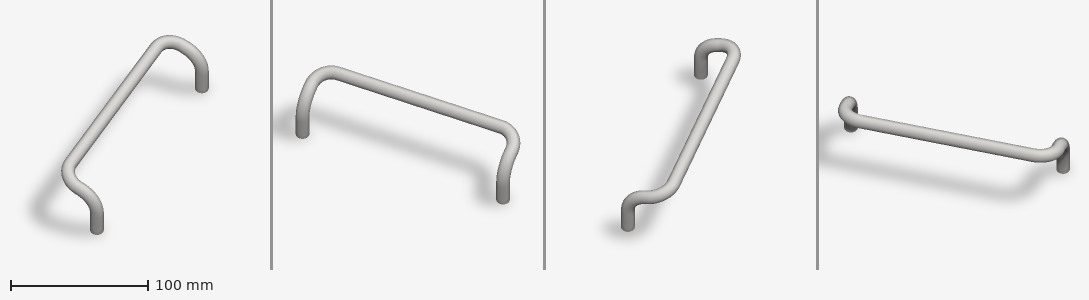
import cadquery as cq
import math

overall_length = 170.0
overall_width = 40.0
overall_height = 47.0
rod_diameter = 10.0
leg_bend_radius = 18.7
grip_bend_radius = 15.0
tilt = math.radians(17.5)

rod_radius = rod_diameter / 2
leg_y = overall_length / 2 - rod_radius
grip_x = -(overall_width - rod_diameter)
grip_z = overall_height - rod_radius

arm_dx = -math.cos(tilt)
arm_dz = math.sin(tilt)
bend_end_x = -leg_bend_radius * (1 - math.sin(tilt))
arm_length = (bend_end_x - grip_x) / math.cos(tilt)
bend_end_z = grip_z - arm_length * math.sin(tilt)
leg_height = bend_end_z - leg_bend_radius * math.cos(tilt)


def arm_point(distance_to_grip, y):
    """Point in the tilted plane, measured back from the grip axis."""
    return (
        grip_x - distance_to_grip * arm_dx,
        y,
        grip_z - distance_to_grip * arm_dz,
    )


def leg_bend_middle(y):
    """Middle of the arc joining a leg to its arm."""
    half_turn = (math.pi / 2 - tilt) / 2
    return (
        -leg_bend_radius * (1 - math.cos(half_turn)),
        y,
        leg_height + leg_bend_radius * math.sin(half_turn),
    )


def grip_bend_middle(side):
    """Middle of the arc joining an arm to the grip."""
    inset = grip_bend_radius * (1 - math.sqrt(0.5))
    return arm_point(inset, side * (leg_y - inset))


def end_edges(side):
    """Centreline of one leg, its bend, arm and grip bend, from the foot up."""
    y = side * leg_y
    foot = cq.Vector(0, y, 0)
    leg_top = cq.Vector(0, y, leg_height)
    arm_start = cq.Vector(bend_end_x, y, bend_end_z)
    arm_end = cq.Vector(*arm_point(grip_bend_radius, y))
    grip_end = cq.Vector(*arm_point(0, side * (leg_y - grip_bend_radius)))
    edges = [
        cq.Edge.makeLine(foot, leg_top),
        cq.Edge.makeThreePointArc(leg_top, cq.Vector(*leg_bend_middle(y)), arm_start),
        cq.Edge.makeLine(arm_start, arm_end),
        cq.Edge.makeThreePointArc(arm_end, cq.Vector(*grip_bend_middle(side)), grip_end),
    ]
    return edges, grip_end


front_edges, front_grip_end = end_edges(-1)
back_edges, back_grip_end = end_edges(1)
grip_edge = cq.Edge.makeLine(front_grip_end, back_grip_end)
centreline = cq.Wire.assembleEdges(front_edges + [grip_edge] + back_edges[::-1])

result = cq.Workplane("XY").center(0, -leg_y).circle(rod_radius).sweep(cq.Workplane(centreline))